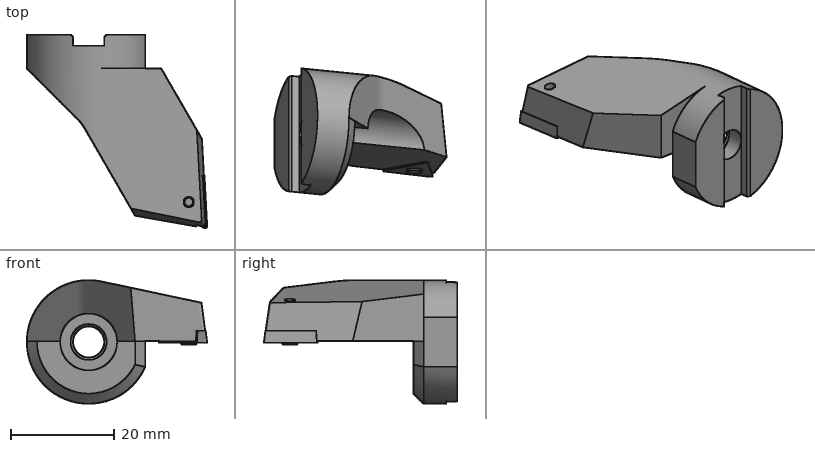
import cadquery as cq
import math


DISC_RADIUS = 12.0
DISC_FLAT_X = 11.0
DISC_THICKNESS = 8.5
FRONT_CHAMFER = 2.0
SHOULDER_Y = -(DISC_THICKNESS - FRONT_CHAMFER)
KEYWAY_WIDTH = 6.0
KEYWAY_DEPTH = 2.1
KEYWAY_CHAMFER = 0.45
BORE_RADIUS = 3.0
BORE_CHAMFER = 0.5
COUNTERBORE_RADIUS = 5.5
COUNTERBORE_FLOOR_Y = -6.0

ARM_UNDERSIDE_Z = 0.15
TOP_SLOPE = 12.0
NECK_ANGLE = 45.0
FLANK_ANGLE = 60.0
NECK_CORNER_X = -1.35
NECK_FILLET = 8.0
RIGHT_CORNER_X = 14.05
END_ANGLE = 10.0
END_CORNER_X = 9.0
TIP_RADIUS = 0.5
SIDE_RECESS = 0.08
RELIEF_ANGLE = 7.0

NOTCH_LENGTH = 1.58
NOTCH_REACH = 1.88

TIP_X = 23.0
TIP_Y = -37.5
INSERT_FACE_Z = -0.2
INSERT_THICKNESS = 2.4
INSCRIBED_RADIUS = 3.2
NOSE_RADIUS = 0.4
CORNER_ANGLE = 60.0
SIDE_ANGLE = 3.0

SCREW_OFFSET_X = -0.15
HEAD_RADIUS = 1.58
HEAD_TOP_RADIUS = 1.4
HEAD_TOP_Z = -0.52
HEAD_SEAT_Z = 0.9
SHANK_RADIUS = 1.0
SHANK_END_Z = 7.12
SHANK_CHAMFER = 0.2

REACH = 75.0
TRIM_MARGIN = 1.88

corner_circle_radius = 2 * (INSCRIBED_RADIUS - NOSE_RADIUS)
tip_direction = math.radians(SIDE_ANGLE - CORNER_ANGLE)
center_x = TIP_X - NOSE_RADIUS - corner_circle_radius * math.cos(tip_direction)
center_y = TIP_Y + NOSE_RADIUS - corner_circle_radius * math.sin(tip_direction)


def cylinder_y(radius, y_start, y_end):
    """Solid cylinder on the Y axis running toward -Y from y_start to y_end."""
    return cq.Workplane("XZ", origin=(0, y_start, 0)).circle(radius).extrude(y_start - y_end)


def make_disc():
    """Disc with one flat side, its front edge chamfered along both the rim and the flat."""
    disc = cylinder_y(DISC_RADIUS, 0, -DISC_THICKNESS).faces("<Y").chamfer(FRONT_CHAMFER)
    beyond_flat = (
        cq.Workplane(origin=(0, 0, -REACH / 2))
        .polyline([
            (DISC_FLAT_X, 0),
            (DISC_FLAT_X, SHOULDER_Y),
            (DISC_FLAT_X - FRONT_CHAMFER, -DISC_THICKNESS),
            (REACH, -DISC_THICKNESS),
            (REACH, 0),
        ])
        .close()
        .extrude(REACH)
    )
    return disc.cut(beyond_flat)


def make_arm_section():
    """Arm cross-section: quarter circle running into the sloping top, swept along Y."""
    slope = math.radians(TOP_SLOPE)
    arc_middle = (-DISC_RADIUS / math.sqrt(2), DISC_RADIUS / math.sqrt(2))
    tangent_x = DISC_RADIUS * math.sin(slope)
    tangent_z = DISC_RADIUS * math.cos(slope)
    far_z = tangent_z - (REACH / 2 - tangent_x) * math.tan(slope)
    left_x = -math.sqrt(DISC_RADIUS**2 - ARM_UNDERSIDE_Z**2)
    return (
        cq.Workplane("XZ")
        .moveTo(left_x, ARM_UNDERSIDE_Z)
        .threePointArc(arc_middle, (tangent_x, tangent_z))
        .lineTo(REACH / 2, far_z)
        .lineTo(REACH / 2, ARM_UNDERSIDE_Z)
        .close()
        .extrude(REACH)
    )


def relief_cutter(x, y, z, heading):
    """Block outside a wall through a point, facing along `heading` and leaning in by the relief angle."""
    relief = math.radians(RELIEF_ANGLE)
    side = math.cos(relief)
    normal = (side * math.cos(heading), side * math.sin(heading), math.sin(relief))
    along = (-math.sin(heading), math.cos(heading), 0)
    return cq.Workplane(cq.Plane((x, y, z), along, normal)).rect(REACH, REACH).extrude(REACH)


def make_arm():
    """Cranked arm with leaning side and end walls at its tip, trimmed to the cross-section."""
    neck_slope = math.tan(math.radians(NECK_ANGLE))
    flank_slope = math.tan(math.radians(FLANK_ANGLE))
    neck_y = SHOULDER_Y - (NECK_CORNER_X + DISC_RADIUS) * neck_slope
    end_y = neck_y - (END_CORNER_X - NECK_CORNER_X) * flank_slope
    right_end_y = SHOULDER_Y - (TIP_X + TRIM_MARGIN - RIGHT_CORNER_X) * flank_slope
    low_y = TIP_Y - TRIM_MARGIN
    low_x = NECK_CORNER_X + (neck_y - low_y) / flank_slope
    plan = (
        cq.Workplane()
        .polyline([
            (-DISC_RADIUS, SHOULDER_Y),
            (NECK_CORNER_X, neck_y),
            (low_x, low_y),
            (TIP_X + TRIM_MARGIN, low_y),
            (TIP_X + TRIM_MARGIN, right_end_y),
            (RIGHT_CORNER_X, SHOULDER_Y),
        ])
        .close()
        .extrude(DISC_RADIUS)
        .edges(cq.NearestToPointSelector((NECK_CORNER_X, neck_y, DISC_RADIUS / 2)))
        .fillet(NECK_FILLET)
    )
    side_distance = INSCRIBED_RADIUS - SIDE_RECESS
    side_heading = math.radians(SIDE_ANGLE)
    side_x = center_x + side_distance * math.cos(side_heading)
    side_y = center_y + side_distance * math.sin(side_heading)
    end_heading = math.radians(-90 - END_ANGLE)
    tip = (
        plan.cut(relief_cutter(side_x, side_y, INSERT_FACE_Z, side_heading))
        .cut(relief_cutter(END_CORNER_X, end_y, ARM_UNDERSIDE_Z, end_heading))
        .edges(cq.NearestToPointSelector((TIP_X, TIP_Y, DISC_RADIUS / 2)))
        .fillet(TIP_RADIUS)
    )
    return tip.intersect(make_arm_section())


def make_keyway():
    """Slot across the rear face, running along Z, with chamfered mouth edges."""
    half = KEYWAY_WIDTH / 2
    flared = half + KEYWAY_CHAMFER
    return (
        cq.Workplane("XY", origin=(0, 0, -REACH / 2))
        .polyline([
            (-flared, 0),
            (-half, -KEYWAY_CHAMFER),
            (-half, -KEYWAY_DEPTH),
            (half, -KEYWAY_DEPTH),
            (half, -KEYWAY_CHAMFER),
            (flared, 0),
        ])
        .close()
        .extrude(REACH)
    )


def make_bore():
    """Through bore with a chamfered mouth at the floor of the counterbore."""
    return (
        cq.Workplane()
        .polyline([
            (0, 0),
            (BORE_RADIUS, 0),
            (BORE_RADIUS, COUNTERBORE_FLOOR_Y + BORE_CHAMFER),
            (BORE_RADIUS + BORE_CHAMFER, COUNTERBORE_FLOOR_Y),
            (COUNTERBORE_RADIUS, COUNTERBORE_FLOOR_Y),
            (COUNTERBORE_RADIUS, -REACH),
            (0, -REACH),
        ])
        .close()
        .revolve(360, (0, 0, 0), (0, 1, 0))
    )


def make_insert_blank():
    """Rounded triangle that narrows upward from its cutting face."""
    return (
        cq.Workplane(origin=(center_x, center_y, INSERT_FACE_Z))
        .transformed(rotate=(0, 0, SIDE_ANGLE - CORNER_ANGLE))
        .polygon(3, 2 * corner_circle_radius)
        .offset2D(NOSE_RADIUS)
        .extrude(INSERT_THICKNESS, taper=RELIEF_ANGLE)
    )


def make_tip_notch():
    """Block that clears the holder away from the end cutting edge next to the tip."""
    inset = INSERT_THICKNESS * math.tan(math.radians(RELIEF_ANGLE))
    depth = inset + NOTCH_REACH
    length = NOTCH_LENGTH + NOTCH_REACH
    nose_distance = corner_circle_radius * math.cos(math.radians(CORNER_ANGLE / 2))
    return (
        cq.Workplane(origin=(center_x, center_y, INSERT_FACE_Z))
        .transformed(rotate=(0, 0, SIDE_ANGLE - CORNER_ANGLE / 2))
        .center(nose_distance - NOTCH_LENGTH, inset - INSCRIBED_RADIUS)
        .rect(length, -depth, centered=False)
        .extrude(INSERT_THICKNESS)
    )


def make_screw():
    """Screw with a tapered head top and a chamfered shank end, turned about its own axis."""
    return (
        cq.Workplane("XZ", origin=(center_x + SCREW_OFFSET_X, center_y, 0))
        .polyline([
            (0, HEAD_TOP_Z),
            (HEAD_TOP_RADIUS, HEAD_TOP_Z),
            (HEAD_RADIUS, INSERT_FACE_Z),
            (HEAD_RADIUS, HEAD_SEAT_Z),
            (SHANK_RADIUS, HEAD_SEAT_Z),
            (SHANK_RADIUS, SHANK_END_Z - SHANK_CHAMFER),
            (SHANK_RADIUS - SHANK_CHAMFER, SHANK_END_Z),
            (0, SHANK_END_Z),
        ])
        .close()
        .revolve(360, (0, 0, 0), (0, 1, 0))
    )


def make_screw_hole():
    return cq.Workplane(origin=(center_x + SCREW_OFFSET_X, center_y, 0)).circle(SHANK_RADIUS).extrude(REACH)


insert_blank = make_insert_blank()
screw = make_screw()
insert = insert_blank.cut(screw)

holder = make_disc().union(make_arm())
for void in (make_keyway(), make_bore(), insert_blank, make_tip_notch(), make_screw_hole()):
    holder = holder.cut(void)

result = cq.Compound.makeCompound([holder.solids().val(), insert.solids().val(), screw.val()])